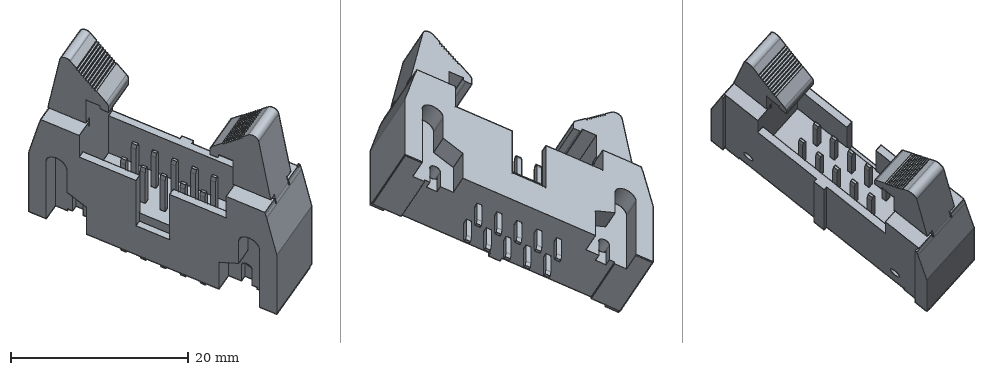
import cadquery as cq


half_length = 15.95
half_width = 3.92
wall = 0.9
wall_top = 12.98
cavity_floor = 6.5
tower_inner_x = 9.45
tower_top = 16.75
slope_start = 10.15
shoulder_x = 14.65
shoulder_z = 15.9
shoulder_top_x = 14.48
shoulder_top_z = 16.35
back_lean = 0.166
foot_height = 0.32
foot_inner_x = 12.2
foot_chamfer = 0.1

back_rib_depth = 0.45
rib_inner_x = 14.23
rib_top = 16.55
key_width = 1.5

notch_width = 4.3
notch_bottom = 5.07
notch_depth = 0.8

recess_depth = 2.25
recess_outer_x = 13.72
recess_inner_x = 11.05
recess_arch_z = 9.8
recess_step_top = 5.93
recess_step_bottom = 4.7
recess_wide_x = 8.52
pivot_x = 10.85
pivot_z = 2.75
pivot_diameter = 1.35
channel_depth = 0.8

latch_width = 4.75
latch_neck_width = 2.97
latch_shoulder_z = 17.3
ramp_sum = 15.6
hook_tip_x = 6.5
hook_heel_x = 7.62
hook_bottom = 20.83
hook_ceiling = 21.37
tip_radius = 0.8
nose_radius = 0.95
heel_radius = 0.32
grip_start_x = 10.62
grip_steps = 9
grip_pitch = 0.3
grip_notch = 0.25
neck_gap = 0.15
neck_gap_bottom = 16.05

pin_pitch = 2.55
pin_columns = 5
pin_size = 0.65
pin_top = 12.45
pin_bottom = -3.65
pin_taper = 0.57
pin_tip = 0.3


def back_face_x(z):
    """X of the leaning back face at the -X end, above the shoulder."""
    return -shoulder_top_x + back_lean * (z - shoulder_top_z)


def block(x, y, z):
    """Box spanning the three (low, high) ranges."""
    return cq.Workplane("XY").box(
        x[1] - x[0], y[1] - y[0], z[1] - z[0], centered=False
    ).translate((x[0], y[0], z[0]))


def extrude_y(profile, y):
    """Extrude an XZ profile over the (low, high) range in Y."""
    return profile.extrude(y[0] - y[1]).translate((0, y[0], 0))


def edge_at(x, z):
    """Selector for the edge along Y whose middle is at Y = 0 and the given X and Z."""
    return cq.selectors.NearestToPointSelector((x, 0, z))


def both_ends(shape):
    """A shape at the -X end joined with its mirror image at the +X end."""
    return shape.union(shape.mirror("YZ"))


def tower_blank(y):
    """Sloped end of the housing, extruded over a range in Y."""
    profile = (
        cq.Workplane("XZ")
        .moveTo(-half_length, -foot_height)
        .lineTo(-half_length, slope_start)
        .lineTo(-shoulder_x, shoulder_z)
        .tangentArcPoint((-shoulder_top_x, shoulder_top_z), relative=False)
        .lineTo(back_face_x(tower_top), tower_top)
        .lineTo(-tower_inner_x, tower_top)
        .lineTo(-tower_inner_x, 0)
        .lineTo(-foot_inner_x, 0)
        .lineTo(-foot_inner_x, -foot_height)
        .close()
    )
    return extrude_y(profile, y)


def back_rib():
    back = half_width + back_rib_depth
    limits = block((-half_length, -rib_inner_x), (0, back), (0, rib_top))
    return tower_blank((0, back)).intersect(limits)


def key():
    return block((-key_width / 2, key_width / 2), (0, half_width + back_rib_depth), (0, wall_top))


def cavity():
    inner_y = half_width - wall
    return block((-tower_inner_x, tower_inner_x), (-inner_y, inner_y), (cavity_floor, wall_top))


def notch():
    """Notch through the front wall that runs on, slightly shallower, below the cavity floor."""
    x = (-notch_width / 2, notch_width / 2)
    through_wall = block(x, (-half_width, -half_width + wall), (cavity_floor, wall_top))
    lower_part = block(x, (-half_width, -half_width + notch_depth), (notch_bottom, cavity_floor))
    return through_wall.union(lower_part)


def recess():
    """Arched recess in the front face that widens towards the pins."""
    arch_radius = (recess_outer_x - recess_inner_x) / 2
    profile = (
        cq.Workplane("XZ")
        .moveTo(-recess_outer_x, -foot_height)
        .lineTo(-recess_outer_x, recess_arch_z)
        .threePointArc(
            (-recess_outer_x + arch_radius, recess_arch_z + arch_radius),
            (-recess_inner_x, recess_arch_z),
        )
        .lineTo(-recess_inner_x, recess_step_top)
        .lineTo(-recess_wide_x, recess_step_bottom)
        .lineTo(-recess_wide_x, -foot_height)
        .close()
    )
    return extrude_y(profile, (-half_width, -half_width + recess_depth))


def pivot_channel():
    """Round-ended channel from the pivot hole to the underside."""
    radius = pivot_diameter / 2
    floor_y = -half_width + recess_depth + channel_depth
    slot = block((-pivot_x - radius, -pivot_x + radius), (-half_width, floor_y), (-foot_height, pivot_z))
    round_end = cq.Workplane("XZ").center(-pivot_x, pivot_z).circle(radius)
    return slot.union(extrude_y(round_end, (-half_width, floor_y)))


def pivot_hole():
    circle = cq.Workplane("XZ").center(-pivot_x, pivot_z).circle(pivot_diameter / 2)
    return extrude_y(circle, (-half_width, half_width))


def chamfer_legs(housing):
    """Bevel the front and outer bottom edges of both outer legs."""
    for side in (-1, 1):
        leg_middle = side * (half_length + recess_outer_x) / 2
        front_edge = cq.selectors.NearestToPointSelector((leg_middle, -half_width, -foot_height))
        housing = housing.edges(front_edge).chamfer(foot_chamfer)
        housing = housing.edges(edge_at(side * half_length, -foot_height)).chamfer(foot_chamfer)
    return housing


def latch():
    """Latch at the -X end: leaning back, stepped 45 degree thumb ramp and a hook."""
    back_x = back_face_x(latch_shoulder_z)
    apex_z = (ramp_sum - back_face_x(0)) / (1 + back_lean)
    profile = (
        cq.Workplane("XZ")
        .moveTo(back_x, latch_shoulder_z)
        .lineTo(ramp_sum - apex_z, apex_z)
        .lineTo(-hook_tip_x, ramp_sum + hook_tip_x)
        .lineTo(-hook_tip_x, hook_bottom)
        .lineTo(-hook_heel_x, hook_bottom)
        .lineTo(-hook_heel_x, hook_ceiling)
        .lineTo(-tower_inner_x, hook_ceiling)
        .lineTo(-tower_inner_x, latch_shoulder_z)
        .close()
    )
    body = extrude_y(profile, (-latch_width / 2, latch_width / 2))
    body = body.edges(edge_at(ramp_sum - apex_z, apex_z)).fillet(tip_radius)
    body = body.edges(edge_at(-hook_tip_x, ramp_sum + hook_tip_x)).fillet(nose_radius)
    body = body.edges(edge_at(-hook_heel_x, hook_bottom)).fillet(heel_radius)
    for step in range(grip_steps):
        x = -grip_start_x + step * grip_pitch
        z = ramp_sum - x
        tooth = (
            cq.Workplane("XZ")
            .moveTo(x, z)
            .lineTo(x, z - grip_notch)
            .lineTo(x + grip_notch, z - grip_notch)
            .close()
        )
        body = body.cut(extrude_y(tooth, (-latch_width / 2, latch_width / 2)))

    neck_profile = (
        cq.Workplane("XZ")
        .moveTo(-shoulder_top_x, shoulder_top_z)
        .lineTo(back_x, latch_shoulder_z)
        .lineTo(-tower_inner_x, latch_shoulder_z)
        .lineTo(-tower_inner_x, shoulder_top_z)
        .close()
    )
    return body.union(extrude_y(neck_profile, (-latch_neck_width / 2, latch_neck_width / 2)))


def neck_gap_cut(side):
    """Narrow gap beside the latch neck in the top of the tower."""
    inner = side * latch_neck_width / 2
    outer = inner + side * neck_gap
    return block(
        (-half_length, -tower_inner_x),
        (min(inner, outer), max(inner, outer)),
        (neck_gap_bottom, tower_top),
    )


def pin(x, y):
    """Square pin whose two ends taper in Y."""
    half = pin_size / 2
    profile = (
        cq.Workplane("YZ")
        .moveTo(-pin_tip / 2, pin_bottom)
        .lineTo(-half, pin_bottom + pin_taper)
        .lineTo(-half, pin_top - pin_taper)
        .lineTo(-pin_tip / 2, pin_top)
        .lineTo(pin_tip / 2, pin_top)
        .lineTo(half, pin_top - pin_taper)
        .lineTo(half, pin_bottom + pin_taper)
        .lineTo(pin_tip / 2, pin_bottom)
        .close()
    )
    return profile.extrude(half, both=True).translate((x, y, 0))


body = block((-tower_inner_x, tower_inner_x), (-half_width, half_width), (0, wall_top))
body = body.union(both_ends(tower_blank((-half_width, half_width))))
body = body.union(both_ends(back_rib())).union(key())
body = body.cut(cavity()).cut(notch())
for end_cut in (recess(), pivot_channel(), pivot_hole(), neck_gap_cut(1), neck_gap_cut(-1)):
    body = body.cut(both_ends(end_cut))
body = chamfer_legs(body)

body = body.union(both_ends(latch()))
first_pin_x = -(pin_columns - 1) / 2 * pin_pitch
for column in range(pin_columns):
    for row_y in (-pin_pitch / 2, pin_pitch / 2):
        body = body.union(pin(first_pin_x + column * pin_pitch, row_y))

result = body